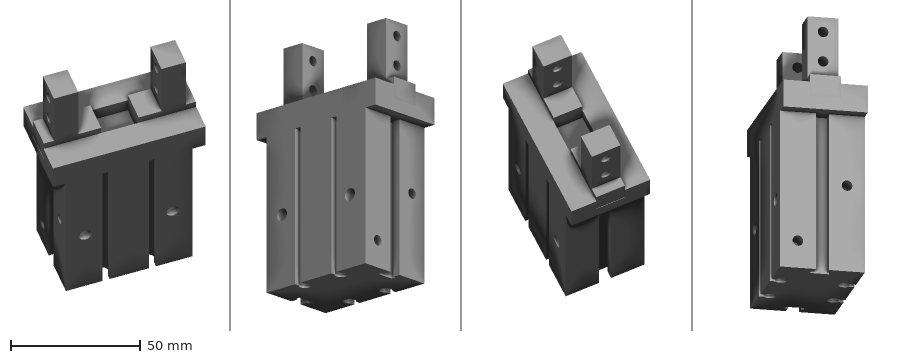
import cadquery as cq
import math

width = 33.6
head_length = 63.0
block_length = 52.3
block_height = 63.7
head_top = 74.7
total_height = 102.7

channel_floor = 68.8
finger_width = 12.2
base_top = 77.7
base_inner = 7.7
base_outer = 31.3
jaw_inner = 17.2
jaw_outer = 27.2
jaw_hole_diameter = 4.2
jaw_hole_spacing = 12.0
upper_jaw_hole_height = 96.7

groove_offset = 9.5
groove_neck = 2.9
groove_diameter = 5.1
groove_centre_depth = 4.1

slot_width = 5.2
slot_lip = 3.2
slot_inner_width = 7.7
slot_depth = 5.1

cross_hole_diameter = 5.2
cross_hole_offset = 18.0
cross_hole_height = 30.0
port_diameter = 4.2
port_depth = 8.2
port_offset = 9.8
lower_port_height = 11.1
upper_port_height = 35.0
drill_point_angle = 118.0


def block_between(x_size, y_min, y_max, z_min, z_max):
    """Box centred in X, spanning the given Y and Z ranges."""
    corner = cq.Vector(-x_size / 2, y_min, z_min)
    return cq.Workplane(cq.Solid.makeBox(x_size, y_max - y_min, z_max - z_min, corner))


def keyhole_groove(side, y):
    """Narrow neck opening into a round channel, in the X face on the given side."""
    centre_x = side * (width / 2 - groove_centre_depth)
    neck = (
        cq.Workplane("XY")
        .center(centre_x + side * groove_centre_depth / 2, y)
        .rect(groove_centre_depth, groove_neck)
        .extrude(block_height)
    )
    channel = cq.Workplane("XY").center(centre_x, y).circle(groove_diameter / 2).extrude(block_height)
    return neck.union(channel)


def t_slot(side):
    """Slot in the Y face on the given side that widens behind its lips."""
    face = side * block_length / 2
    lip = face - side * slot_lip
    floor = face - side * slot_depth
    neck = block_between(slot_width, min(face, lip), max(face, lip), 0, block_height)
    pocket = block_between(slot_inner_width, min(lip, floor), max(lip, floor), 0, block_height)
    return neck.union(pocket)


def flat_port():
    """Flat-bottomed port near the foot of the -Y face."""
    start = cq.Vector(-port_offset, -block_length / 2, lower_port_height)
    return cq.Solid.makeCylinder(port_diameter / 2, port_depth, start, cq.Vector(0, 1, 0))


def drilled_port():
    """Port with a conical drill point, higher up the -Y face."""
    radius = port_diameter / 2
    point_depth = radius / math.tan(math.radians(drill_point_angle / 2))
    profile = [(0, 0), (radius, 0), (radius, port_depth), (0, port_depth + point_depth)]
    port = cq.Workplane("XY").polyline(profile).close().revolve(360, (0, 0), (0, 1))
    return port.translate((port_offset, -block_length / 2, upper_port_height))


def make_housing():
    block = block_between(width, -block_length / 2, block_length / 2, 0, block_height)
    head = block_between(width, -head_length / 2, head_length / 2, block_height, head_top)
    housing = block.union(head)
    housing = housing.cut(
        block_between(finger_width, -head_length / 2, head_length / 2, channel_floor, head_top)
    )
    for side in (-1, 1):
        housing = housing.cut(t_slot(side))
        for y in (-groove_offset, groove_offset):
            housing = housing.cut(keyhole_groove(side, y))
    cross_holes = (
        cq.Workplane("YZ")
        .pushPoints([(-cross_hole_offset, cross_hole_height), (cross_hole_offset, cross_hole_height)])
        .circle(cross_hole_diameter / 2)
        .extrude(width / 2, both=True)
    )
    return housing.cut(cross_holes).cut(flat_port()).cut(drilled_port())


def make_finger(side):
    """Sliding base with an upright jaw, on the given Y side."""
    outline = [
        (base_inner, channel_floor),
        (base_outer, channel_floor),
        (base_outer, base_top),
        (jaw_outer, base_top),
        (jaw_outer, total_height),
        (jaw_inner, total_height),
        (jaw_inner, base_top),
        (base_inner, base_top),
    ]
    finger = (
        cq.Workplane("YZ")
        .polyline([(side * y, z) for y, z in outline])
        .close()
        .extrude(finger_width / 2, both=True)
    )
    for height in (upper_jaw_hole_height, upper_jaw_hole_height - jaw_hole_spacing):
        hole = cq.Solid.makeCylinder(
            jaw_hole_diameter / 2,
            jaw_outer - jaw_inner,
            cq.Vector(0, side * jaw_inner, height),
            cq.Vector(0, side, 0),
        )
        finger = finger.cut(cq.Workplane(hole))
    return finger


housing = make_housing()
fingers = [make_finger(side) for side in (-1, 1)]

result = cq.Compound.makeCompound([housing.val(), *[finger.val() for finger in fingers]])